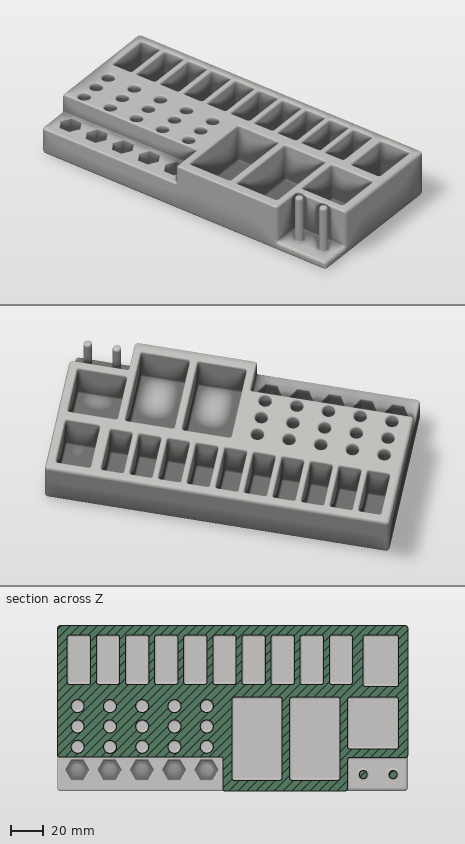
import cadquery as cq

LENGTH = 214.6
WIDTH = 101.5
HEIGHT = 32.2
WALL = 6.0
FLOOR = 6.0
OUTER_RADIUS = 2.1
INNER_RADIUS = 1.3

LEFT = -LENGTH / 2
RIGHT = LENGTH / 2
FRONT = -WIDTH / 2
BACK = WIDTH / 2

SILL_END = LEFT + 101.7
SILL_WALL = FRONT + 21.5
SILL_HEIGHT = 18.9
SHELF_START = RIGHT - 37.0
SHELF_WALL = FRONT + 20.5

BIN_COUNT = 10
BIN_PITCH = 17.8
FIRST_BIN = LEFT + 6.2
BIN_WIDTH = 14.0
BIN_LENGTH = 30.0
CORNER_BIN_WIDTH = 21.5
CORNER_BIN_LENGTH = 31.3
TRAY_GAP = 5.0
CORNER_BIN_GAP = 6.7
TRAY_BACK = BACK - WALL - CORNER_BIN_LENGTH - CORNER_BIN_GAP
SQUARE_TRAY_WIDTH = 31.0
SQUARE_TRAY_LENGTH = 31.5
LONG_TRAY_COUNT = 2
LONG_TRAY_WIDTH = 30.5
LONG_TRAY_LENGTH = 50.7

COLUMN_COUNT = 5
COLUMN_PITCH = 19.7
FIRST_COLUMN = LEFT + 12.5
ROW_COUNT = 3
ROW_PITCH = 12.5
BACK_ROW = BACK - 49.4
SOCKET_RADIUS = 3.9
HEX_ACROSS_CORNERS = 14.4
HEX_ROW = FRONT + 12.9
HEX_RADIUS = 0.6

PIN_TOP = 38.2
PIN_RADIUS = 2.5
PIN_ROW = FRONT + 10.3
PIN_COLUMNS = (RIGHT - 27.5, RIGHT - 9.2)


def box_between(x0, x1, y0, y1, z0, z1):
    """Box given by its limits along each axis."""
    return cq.Workplane("XY").box(x1 - x0, y1 - y0, z1 - z0, centered=False).translate((x0, y0, z0))


def edges_nearest(block, points):
    """Edges of the block whose midpoints lie closest to the given points, one per point."""
    picked = block.newObject([])
    for point in points:
        picked = picked.add(block.edges(cq.selectors.NearestToPointSelector(point)))
    return picked


def make_block():
    """Block with both front corners stepped down, its outer edges rounded more than its step edges."""
    block = box_between(LEFT, RIGHT, FRONT, BACK, 0, HEIGHT)
    block = block.cut(box_between(LEFT, SILL_END, FRONT, SILL_WALL, SILL_HEIGHT, HEIGHT))
    block = block.cut(box_between(SHELF_START, RIGHT, FRONT, SHELF_WALL, FLOOR, HEIGHT))

    sill_x = (LEFT + SILL_END) / 2
    sill_y = (FRONT + SILL_WALL) / 2
    sill_z = (SILL_HEIGHT + HEIGHT) / 2
    shelf_x = (SHELF_START + RIGHT) / 2
    shelf_y = (FRONT + SHELF_WALL) / 2
    shelf_z = (FLOOR + HEIGHT) / 2

    inside_corners = [
        (sill_x, SILL_WALL, SILL_HEIGHT),
        (SILL_END, sill_y, SILL_HEIGHT),
        (SILL_END, SILL_WALL, sill_z),
        (shelf_x, SHELF_WALL, FLOOR),
        (SHELF_START, shelf_y, FLOOR),
        (SHELF_START, SHELF_WALL, shelf_z),
    ]
    outer_front_edges = [
        (LEFT, FRONT, SILL_HEIGHT / 2),
        (RIGHT, FRONT, FLOOR / 2),
        (LEFT, (SILL_WALL + BACK) / 2, HEIGHT),
        (RIGHT, (SHELF_WALL + BACK) / 2, HEIGHT),
        (shelf_x, FRONT, FLOOR),
        (RIGHT, shelf_y, FLOOR),
        (SHELF_START, FRONT, shelf_z),
    ]
    step_rims = [
        (sill_x, FRONT, SILL_HEIGHT),
        (LEFT, sill_y, SILL_HEIGHT),
        (LEFT, SILL_WALL, sill_z),
        (SILL_END, FRONT, sill_z),
        (sill_x, SILL_WALL, HEIGHT),
        (SILL_END, sill_y, HEIGHT),
        ((SILL_END + SHELF_START) / 2, FRONT, HEIGHT),
        (shelf_x, SHELF_WALL, HEIGHT),
        (SHELF_START, shelf_y, HEIGHT),
        (RIGHT, SHELF_WALL, shelf_z),
    ]
    block = edges_nearest(block, inside_corners).fillet(INNER_RADIUS)
    block = block.edges("<Z or >Y").add(edges_nearest(block, outer_front_edges)).fillet(OUTER_RADIUS)
    return edges_nearest(block, step_rims).fillet(INNER_RADIUS)


def round_rims(block, face, radius):
    """Round every opening in a flat face of the block."""
    rims = [edge for wire in face.innerWires() for edge in wire.Edges()]
    return block.newObject(rims).fillet(radius)


def pocket_cutter(right_wall, width, back_wall, length):
    """Pocket with rounded corners and floor, reaching left and forward from two of its walls."""
    cutter = box_between(right_wall - width, right_wall, back_wall - length, back_wall, FLOOR, HEIGHT)
    return cutter.edges("|Z or <Z").fillet(INNER_RADIUS)


def cut_pockets(block):
    """Back row of bins with a wider one in the corner, and a row of trays in front of it."""
    back_wall = BACK - WALL
    right_wall = RIGHT - WALL
    for index in range(BIN_COUNT):
        bin_right = FIRST_BIN + BIN_WIDTH + index * BIN_PITCH
        block = block.cut(pocket_cutter(bin_right, BIN_WIDTH, back_wall, BIN_LENGTH))
    block = block.cut(pocket_cutter(right_wall, CORNER_BIN_WIDTH, back_wall, CORNER_BIN_LENGTH))

    block = block.cut(pocket_cutter(right_wall, SQUARE_TRAY_WIDTH, TRAY_BACK, SQUARE_TRAY_LENGTH))
    for index in range(LONG_TRAY_COUNT):
        tray_right = right_wall - SQUARE_TRAY_WIDTH - TRAY_GAP - index * (LONG_TRAY_WIDTH + TRAY_GAP)
        block = block.cut(pocket_cutter(tray_right, LONG_TRAY_WIDTH, TRAY_BACK, LONG_TRAY_LENGTH))
    return round_rims(block, block.faces(">Z").val(), INNER_RADIUS)


def socket_cutter():
    """Round socket about the Z axis with a rounded rim and a rounded floor."""
    r = INNER_RADIUS
    rim = SOCKET_RADIUS + r
    return (
        cq.Workplane("XZ")
        .moveTo(0, FLOOR)
        .lineTo(SOCKET_RADIUS - r, FLOOR)
        .radiusArc((SOCKET_RADIUS, FLOOR + r), -r)
        .lineTo(SOCKET_RADIUS, HEIGHT - r)
        .radiusArc((rim, HEIGHT), r)
        .lineTo(0, HEIGHT)
        .close()
        .revolve(360, (0, 0, 0), (0, 1, 0))
    )


def cut_round_sockets(block):
    """Grid of round sockets in the top of the block."""
    socket = socket_cutter()
    for column in range(COLUMN_COUNT):
        for row in range(ROW_COUNT):
            place = (FIRST_COLUMN + column * COLUMN_PITCH, BACK_ROW - row * ROW_PITCH, 0)
            block = block.cut(socket.translate(place))
    return block


def cut_hex_sockets(block):
    """Row of hexagonal sockets in the sill with slightly rounded floors and rims."""
    socket = cq.Workplane("XY").polygon(6, HEX_ACROSS_CORNERS).extrude(SILL_HEIGHT - FLOOR)
    socket = socket.edges("<Z").fillet(HEX_RADIUS)
    for column in range(COLUMN_COUNT):
        block = block.cut(socket.translate((FIRST_COLUMN + column * COLUMN_PITCH, HEX_ROW, FLOOR)))
    sill_middle = ((LEFT + SILL_END) / 2, (FRONT + SILL_WALL) / 2, SILL_HEIGHT)
    sill = block.faces(cq.selectors.NearestToPointSelector(sill_middle)).val()
    return round_rims(block, sill, HEX_RADIUS)


def add_pins(block):
    """Two upright pins on the shelf with rounded tips and flared feet."""
    r = INNER_RADIUS
    foot = PIN_RADIUS + r
    root = FLOOR / 2
    pin = (
        cq.Workplane("XZ")
        .moveTo(0, root)
        .lineTo(foot, root)
        .lineTo(foot, FLOOR)
        .radiusArc((PIN_RADIUS, FLOOR + r), r)
        .lineTo(PIN_RADIUS, PIN_TOP - r)
        .radiusArc((PIN_RADIUS - r, PIN_TOP), -r)
        .lineTo(0, PIN_TOP)
        .close()
        .revolve(360, (0, 0, 0), (0, 1, 0))
    )
    for x in PIN_COLUMNS:
        block = block.union(pin.translate((x, PIN_ROW, 0)))
    return block


block = make_block()
block = cut_pockets(block)
block = cut_hex_sockets(block)
block = cut_round_sockets(block)
result = add_pins(block)